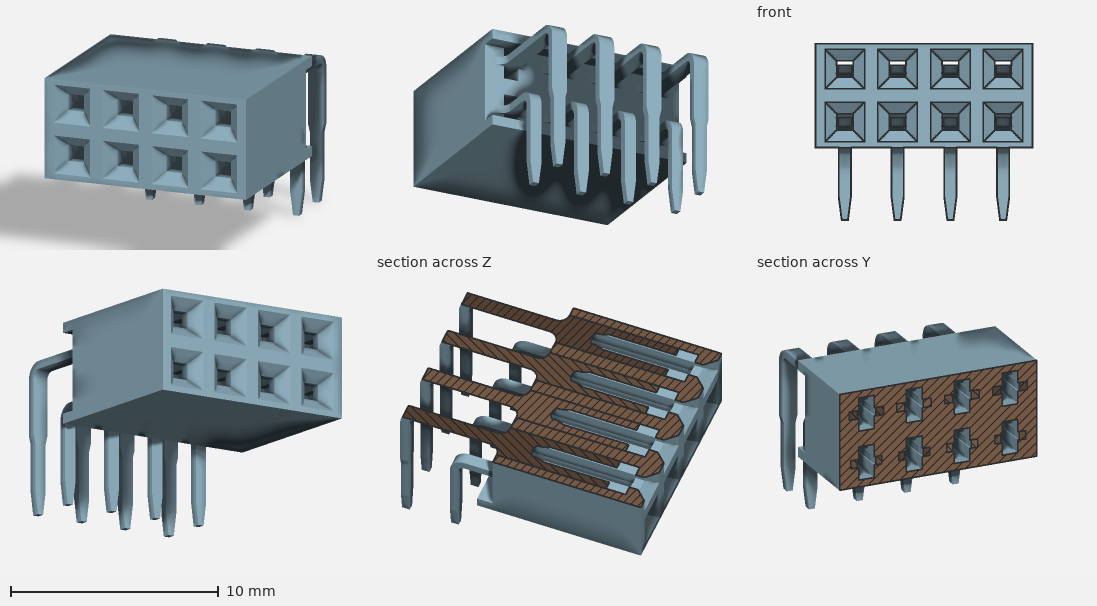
import cadquery as cq
import math

COLUMNS = 4
PITCH = 2.54

HOUSING_WIDTH = 10.46
HOUSING_DEPTH = 8.5
HOUSING_HEIGHT = 5.0
LIP_LENGTH = 0.8
LIP_THICKNESS = 0.5
BACK_FACE = HOUSING_DEPTH - LIP_LENGTH

FUNNEL_MOUTH = 1.9
FUNNEL_DEPTH = 0.55
THROAT_SIZE = 0.8
THROAT_LENGTH = 0.45
CHANNEL_HEIGHT = 1.7
CHANNEL_START = FUNNEL_DEPTH + THROAT_LENGTH

STRIP_THICKNESS = 0.4
UPPER_TAIL_WIDTH = 0.8
LOWER_TAIL_WIDTH = 0.6
TIP_WIDTH = 0.31
TIP_LENGTH = 1.15
TAIL_DROP = 3.5
NARROWING_HEIGHT = 0.4
BEND_RADIUS = 0.8
UPPER_TAIL_BACK = 12.9
LOWER_TAIL_BACK = UPPER_TAIL_BACK - PITCH

FLARE_RADIUS = 0.5
FORK_FRONT = 2.0
SLOT_END = 6.19
SLOT_END_WIDTH = 0.65
SLOT_END_RADIUS = 0.5
SLOT_WIDTH = 0.95
SLOT_SIDE_RADIUS = 1.42

COLUMN_CENTERS = [(i - (COLUMNS - 1) / 2) * PITCH for i in range(COLUMNS)]
LOWER_ROW = (HOUSING_HEIGHT - PITCH) / 2
UPPER_ROW = (HOUSING_HEIGHT + PITCH) / 2


def centered_box(width, height, start, end, x, z):
    """Box centered on (x, z) that runs along Y from start to end."""
    return cq.Workplane("XY").box(width, end - start, height).translate((x, (start + end) / 2, z))


def fork_width(tail_width):
    """Width of a fork whose shoulders end at the flares of its tail."""
    return tail_width + 2 * FLARE_RADIUS


def make_socket(x, z, tail_width):
    """Space of one contact: funnel, throat, channel and fork slit."""
    funnel = (
        cq.Workplane("XZ", origin=(x, 0, z))
        .rect(FUNNEL_MOUTH, FUNNEL_MOUTH)
        .workplane(offset=-FUNNEL_DEPTH)
        .rect(THROAT_SIZE, THROAT_SIZE)
        .loft(ruled=True)
    )
    throat = centered_box(THROAT_SIZE, THROAT_SIZE, FUNNEL_DEPTH, CHANNEL_START, x, z)
    channel = centered_box(THROAT_SIZE, CHANNEL_HEIGHT, CHANNEL_START, BACK_FACE, x, z)
    slit = centered_box(fork_width(tail_width), STRIP_THICKNESS, CHANNEL_START, BACK_FACE, x, z)
    return funnel.union(throat).union(channel).union(slit)


def make_housing():
    """Block with a lip above and below its back face and one socket per contact."""
    body = centered_box(HOUSING_WIDTH, HOUSING_HEIGHT, 0, HOUSING_DEPTH, 0, HOUSING_HEIGHT / 2)
    back_gap = centered_box(
        HOUSING_WIDTH, HOUSING_HEIGHT - 2 * LIP_THICKNESS, BACK_FACE, HOUSING_DEPTH, 0, HOUSING_HEIGHT / 2
    )
    body = body.cut(back_gap)
    for x in COLUMN_CENTERS:
        body = body.cut(make_socket(x, LOWER_ROW, LOWER_TAIL_WIDTH))
        body = body.cut(make_socket(x, UPPER_ROW, UPPER_TAIL_WIDTH))
    return body


def make_strip(row_height, tail_width, tail_back):
    """Bent strip as wide as the fork, from the fork tips to the tail tip."""
    top = row_height + STRIP_THICKNESS / 2
    bottom = row_height - STRIP_THICKNESS / 2
    tail_front = tail_back - STRIP_THICKNESS
    inner_radius = BEND_RADIUS - STRIP_THICKNESS
    bend_y = tail_back - BEND_RADIUS
    bend_z = top - BEND_RADIUS
    diagonal = math.sqrt(0.5)
    return (
        cq.Workplane("YZ")
        .moveTo(FORK_FRONT, bottom)
        .lineTo(FORK_FRONT, top)
        .lineTo(bend_y, top)
        .threePointArc((bend_y + BEND_RADIUS * diagonal, bend_z + BEND_RADIUS * diagonal), (tail_back, bend_z))
        .lineTo(tail_back, -TAIL_DROP)
        .lineTo(tail_front, -TAIL_DROP)
        .lineTo(tail_front, bend_z)
        .threePointArc((bend_y + inner_radius * diagonal, bend_z + inner_radius * diagonal), (bend_y, bottom))
        .close()
        .extrude(fork_width(tail_width) / 2, both=True)
    )


def make_plan(tail_width, tail_back):
    """Prism of the contact's outline seen along Z: fork, flares and tail."""
    half_tail = tail_width / 2
    half_fork = fork_width(tail_width) / 2
    flare_end = BACK_FACE + FLARE_RADIUS
    flare_offset = FLARE_RADIUS * (1 - math.sqrt(0.5))
    flare_x = half_tail + flare_offset
    flare_y = BACK_FACE + flare_offset
    return (
        cq.Workplane("XY", origin=(0, 0, -TAIL_DROP))
        .moveTo(-half_fork, FORK_FRONT)
        .lineTo(half_fork, FORK_FRONT)
        .lineTo(half_fork, BACK_FACE)
        .threePointArc((flare_x, flare_y), (half_tail, flare_end))
        .lineTo(half_tail, tail_back)
        .lineTo(-half_tail, tail_back)
        .lineTo(-half_tail, flare_end)
        .threePointArc((-flare_x, flare_y), (-half_fork, BACK_FACE))
        .close()
        .extrude(TAIL_DROP + HOUSING_HEIGHT)
    )


def make_leg_outline(tail_width, tail_back):
    """Prism of the outline seen along Y: full width above, narrowed leg and tapered tip below."""
    half_fork = fork_width(tail_width) / 2
    right_side = [
        (half_fork, HOUSING_HEIGHT),
        (half_fork, NARROWING_HEIGHT),
        (tail_width / 2, NARROWING_HEIGHT),
        (LOWER_TAIL_WIDTH / 2, 0),
        (LOWER_TAIL_WIDTH / 2, TIP_LENGTH - TAIL_DROP),
        (TIP_WIDTH / 2, -TAIL_DROP),
    ]
    left_side = [(-x, z) for x, z in reversed(right_side)]
    return cq.Workplane("XZ").polyline(right_side + left_side).close().extrude(-tail_back)


def make_slot():
    """Prism of the fork's slot: rounded end, sides curving apart, then straight to the front."""
    half_end = SLOT_END_WIDTH / 2
    half_slot = SLOT_WIDTH / 2
    end_corner = SLOT_END - SLOT_END_RADIUS + math.sqrt(SLOT_END_RADIUS**2 - half_end**2)
    side_angle = math.acos(1 - (half_slot - half_end) / SLOT_SIDE_RADIUS)
    side_start = end_corner - SLOT_SIDE_RADIUS * math.sin(side_angle)
    side_x = half_end + SLOT_SIDE_RADIUS * (1 - math.cos(side_angle / 2))
    side_y = end_corner - SLOT_SIDE_RADIUS * math.sin(side_angle / 2)
    return (
        cq.Workplane("XY")
        .moveTo(-half_slot, FORK_FRONT)
        .lineTo(half_slot, FORK_FRONT)
        .lineTo(half_slot, side_start)
        .threePointArc((side_x, side_y), (half_end, end_corner))
        .threePointArc((0, SLOT_END), (-half_end, end_corner))
        .threePointArc((-side_x, side_y), (-half_slot, side_start))
        .close()
        .extrude(HOUSING_HEIGHT)
    )


def make_contact(row_height, tail_width, tail_back):
    """One contact at x = 0: bent strip trimmed to its two outlines and slotted."""
    strip = make_strip(row_height, tail_width, tail_back)
    strip = strip.intersect(make_plan(tail_width, tail_back))
    strip = strip.intersect(make_leg_outline(tail_width, tail_back))
    return strip.cut(make_slot())


housing = make_housing()
lower_contact = make_contact(LOWER_ROW, LOWER_TAIL_WIDTH, LOWER_TAIL_BACK)
upper_contact = make_contact(UPPER_ROW, UPPER_TAIL_WIDTH, UPPER_TAIL_BACK)
lower_contacts = [lower_contact.translate((x, 0, 0)).val() for x in COLUMN_CENTERS]
upper_contacts = [upper_contact.translate((x, 0, 0)).val() for x in COLUMN_CENTERS]

result = cq.Compound.makeCompound([housing.val(), *lower_contacts, *upper_contacts])